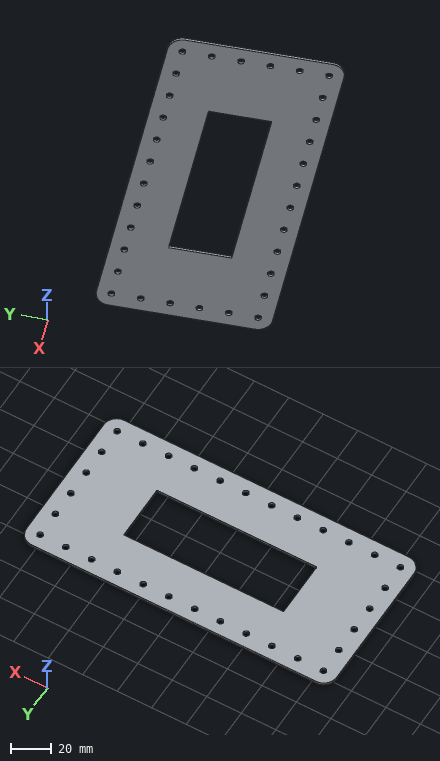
import cadquery as cq

length = 180.0
width = length / 2
thickness = 1.58
corner_radius = 7.5

window_length = 92.5
window_width = 32.0

hole_diameter = 3.2
columns = 12
rows = 6
pitch = 15.0


def perimeter_points():
    """Centres of the outermost positions of the hole grid."""
    points = []
    for column in range(columns):
        for row in range(rows):
            if column in (0, columns - 1) or row in (0, rows - 1):
                x = (column - (columns - 1) / 2) * pitch
                y = (row - (rows - 1) / 2) * pitch
                points.append((x, y))
    return points


plate = cq.Workplane("XY").box(length, width, thickness).edges("|Z").fillet(corner_radius)
plate = plate.faces(">Z").workplane().rect(window_length, window_width).cutThruAll()
result = plate.faces(">Z").workplane().pushPoints(perimeter_points()).hole(hole_diameter)